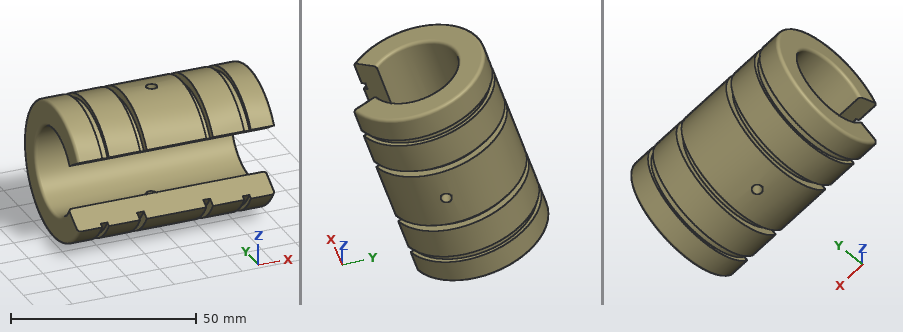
import cadquery as cq
import math

length = 58.0
outer_radius = 20.0
bore_radius = 12.45
edge_radius = 0.9

opening_half_angle = 31.3

groove_width = 2.0
grooves = [(9.75, 2.45), (20.9, 1.2)]

oil_hole_diameter = 3.0


def make_tube():
    """Plain tube with rounded inner and outer end edges."""
    tube = (
        cq.Workplane("YZ")
        .circle(outer_radius)
        .circle(bore_radius)
        .extrude(length / 2, both=True)
    )
    return tube.faces("<X or >X").edges().fillet(edge_radius)


def make_ring_groove(center_x, depth):
    """Ring of material to remove from the outside of the tube."""
    return (
        cq.Workplane("YZ", origin=(center_x - groove_width / 2, 0, 0))
        .circle(outer_radius + depth)
        .circle(outer_radius - depth)
        .extrude(groove_width)
    )


def make_opening():
    """Wedge from the axis that reaches past the outer surface on the -Y side."""
    reach = 2 * outer_radius
    half_height = reach * math.tan(math.radians(opening_half_angle))
    return (
        cq.Workplane("YZ")
        .polyline([(0, 0), (-reach, half_height), (-reach, -half_height)])
        .close()
        .extrude(length, both=True)
    )


def make_oil_hole():
    """Cylinder along Z that crosses both walls at mid-length."""
    return cq.Workplane("XY").circle(oil_hole_diameter / 2).extrude(2 * outer_radius, both=True)


result = make_tube()
for offset, depth in grooves:
    for side in (-1, 1):
        result = result.cut(make_ring_groove(side * offset, depth))
result = result.cut(make_opening())
result = result.cut(make_oil_hole())